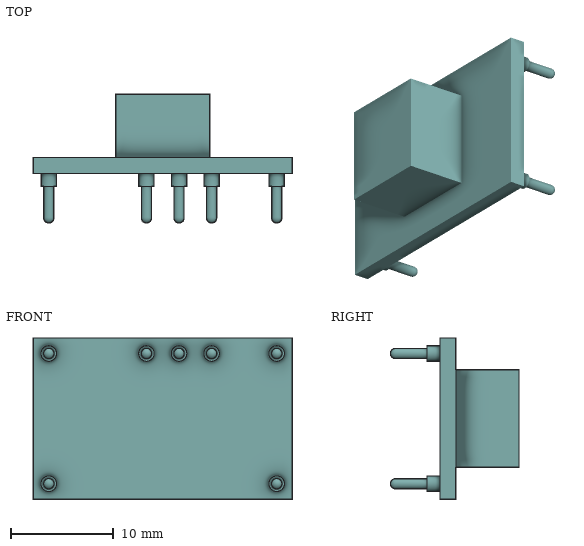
import cadquery as cq
import math

plate_width = 25.27
plate_height = 15.75
plate_thickness = 1.57

block_width = 9.2
block_height = 9.53
overall_depth = 12.55

collar_diameter = 1.52
collar_length = 1.26
pin_diameter = 1.0
pin_length = 4.83

block_depth = overall_depth - plate_thickness - pin_length

corner_span_x = 22.2
pitches_across = 7
pitches_up = 4
pin_pitch = corner_span_x / pitches_across
corner_x = corner_span_x / 2
row_z = pin_pitch * pitches_up / 2

corner_positions = [(x, z) for x in (-corner_x, corner_x) for z in (-row_z, row_z)]

middle_pin_count = 3
first_middle_x = -pin_pitch / 2
middle_positions = [(first_middle_x + i * pin_pitch, row_z) for i in range(middle_pin_count)]


def make_plate():
    return cq.Workplane("XY").box(
        plate_width, plate_thickness, plate_height, centered=(True, False, True)
    )


def make_block():
    return (
        cq.Workplane("XY")
        .box(block_width, block_depth, block_height, centered=(True, False, True))
        .translate((0, plate_thickness, 0))
    )


def make_pin(x, z):
    """One pin, revolved about its own axis, with its collar seated on the plate."""
    collar_radius = collar_diameter / 2
    pin_radius = pin_diameter / 2
    tip_start = pin_length - pin_radius
    arc_offset = pin_radius * math.sin(math.pi / 4)
    return (
        cq.Workplane("XY")
        .moveTo(0, 0)
        .lineTo(collar_radius, 0)
        .lineTo(collar_radius, -collar_length)
        .lineTo(pin_radius, -collar_length)
        .lineTo(pin_radius, -tip_start)
        .threePointArc((arc_offset, -tip_start - arc_offset), (0, -pin_length))
        .close()
        .revolve(360, (0, 0), (0, 1))
        .translate((x, 0, z))
    )


plate = make_plate()
block = make_block()
pins = [make_pin(x, z) for x, z in corner_positions + middle_positions]

result = cq.Compound.makeCompound([plate.val(), block.val(), *[pin.val() for pin in pins]])